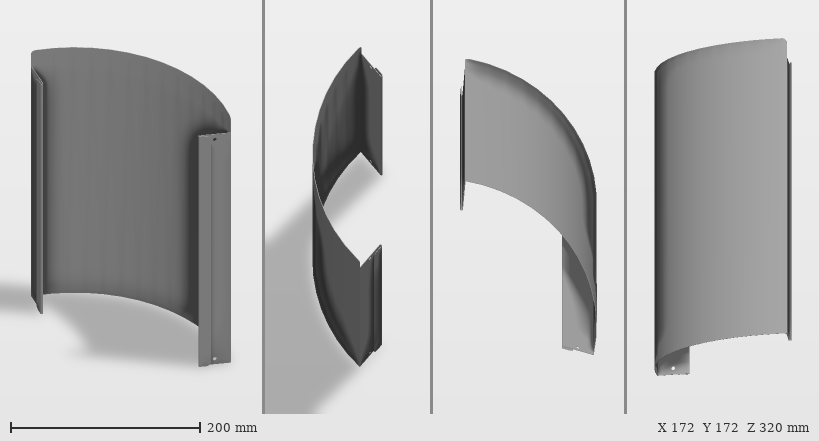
import cadquery as cq
import math

overall_width = 171.97
sheet = 0.6
edge_strip = 1.0
shell_height = 320.0
shell_corner_radius = 5.0
outer_radius = overall_width - edge_strip
inner_radius = outer_radius - sheet

flange_height = 300.0
flange_length = 35.0
flange_tilt = 6.2

hem_gap = 1.75
hem_length = 13.0
hem_corner_radius = 5.0
fold_inner_radius = hem_gap / 2
fold_outer_radius = fold_inner_radius + sheet

hole_diameter = 4.0
hole_from_corner = flange_length / 2
hole_from_end = 7.0


def corner_waste(workplane, corner, along, up, radius):
    """Closed outline left over between a square corner and its rounding.

    along and up are +1 or -1 and point from the corner into the sheet.
    """
    x, y = corner
    to_arc = radius * (1 - math.sqrt(0.5))
    return (
        workplane.moveTo(x, y)
        .lineTo(x + along * radius, y)
        .threePointArc((x + along * to_arc, y + up * to_arc), (x, y + up * radius))
        .close()
    )


def make_shell():
    """Curved sheet with straight edge strips and two rounded top corners."""
    diagonal = math.sqrt(0.5)
    centre_x = -edge_strip
    centre_y = edge_strip
    shell = (
        cq.Workplane("XY")
        .moveTo(-overall_width, 0)
        .lineTo(-overall_width, centre_y)
        .threePointArc(
            (centre_x - outer_radius * diagonal, centre_y + outer_radius * diagonal),
            (centre_x, overall_width),
        )
        .lineTo(0, overall_width)
        .lineTo(0, overall_width - sheet)
        .lineTo(centre_x, overall_width - sheet)
        .threePointArc(
            (centre_x - inner_radius * diagonal, centre_y + inner_radius * diagonal),
            (sheet - overall_width, centre_y),
        )
        .lineTo(sheet - overall_width, 0)
        .close()
        .extrude(shell_height)
    )
    cut_depth = 2 * sheet
    side = cq.Workplane("YZ", origin=(-overall_width, 0, 0))
    corner = corner_waste(side, (0, shell_height), 1, -1, shell_corner_radius).extrude(cut_depth)
    return shell.cut(corner).cut(other_side(corner))


def make_flange():
    """Tilted flange with its hem and screw holes, on the shell edge at -X."""
    tilt = math.radians(flange_tilt)
    along = (math.cos(tilt), math.sin(tilt), 0)
    outward = (math.sin(tilt), -math.cos(tilt), 0)
    shell_edge = (-overall_width, 0, 0)
    fold_start = flange_length - fold_outer_radius
    fold_centre = -fold_inner_radius
    hem_start = flange_length - hem_length
    hem_outer = -hem_gap - sheet

    flange = (
        cq.Workplane(cq.Plane(origin=shell_edge, xDir=along, normal=(0, 0, 1)))
        .lineTo(fold_start, 0)
        .threePointArc((fold_start + fold_inner_radius, fold_centre), (fold_start, -hem_gap))
        .lineTo(hem_start, -hem_gap)
        .lineTo(hem_start, hem_outer)
        .lineTo(fold_start, hem_outer)
        .threePointArc((flange_length, fold_centre), (fold_start, sheet))
        .lineTo(sheet * math.tan(tilt), sheet)
        .close()
        .extrude(flange_height)
    )

    face = cq.Workplane(cq.Plane(origin=shell_edge, xDir=along, normal=outward))
    hole_heights = (hole_from_end, flange_height - hole_from_end)
    holes = (
        face.pushPoints([(hole_from_corner, height) for height in hole_heights])
        .circle(hole_diameter / 2)
        .extrude(-sheet)
    )
    flange = flange.cut(holes)

    hem_face = face.workplane(offset=hem_gap)
    for end, up in ((0, 1), (flange_height, -1)):
        corner = corner_waste(hem_face, (hem_start, end), 1, up, hem_corner_radius).extrude(sheet)
        flange = flange.cut(corner)
    return flange


def other_side(body):
    """Copy of a body mirrored in the vertical plane that halves the shell."""
    return body.rotate((0, 0, 0), (0, 0, 1), -90).mirror("YZ")


flange = make_flange()
result = make_shell().union(flange).union(other_side(flange))